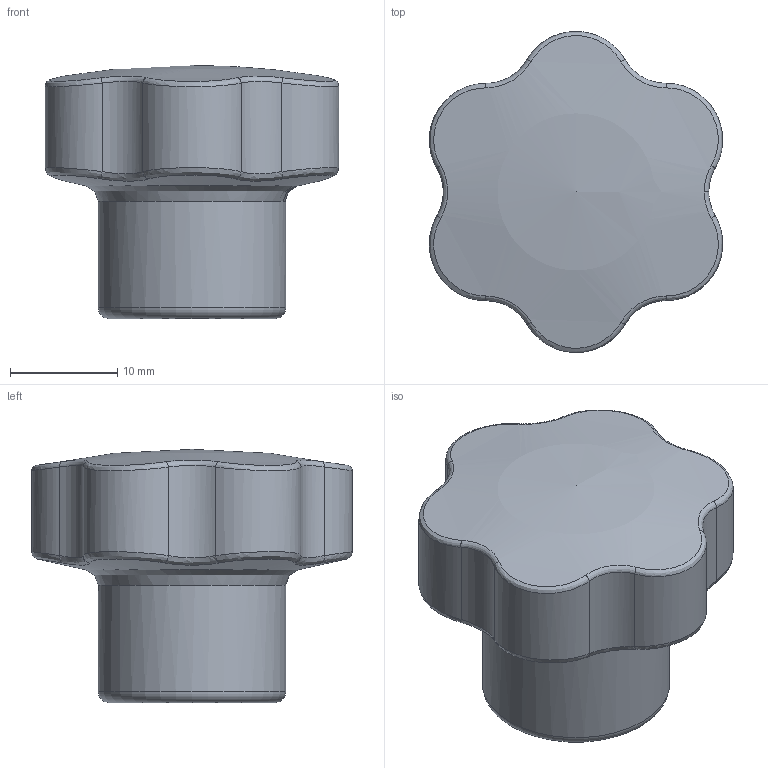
import cadquery as cq
import math

lobe_count = 6
outer_radius = 15.0
lobe_radius = 5.3
valley_depth_radius = 12.4
lobe_center_radius = outer_radius - lobe_radius
pitch_angle = 360.0 / lobe_count
first_lobe_angle = 90.0

total_height = 23.65
dome_radius = 72.0
underside_root_height = 12.15
underside_slope = 12.5

hub_radius = 17.5 / 2
foot_round = 1.0
neck_round = 1.5

top_rim_round = 0.5
bottom_rim_round = 0.7

blank_radius = outer_radius + 2.0


def polar(radius, angle):
    """Point at a radius and an angle in degrees about the knob axis."""
    return (radius * math.cos(math.radians(angle)), radius * math.sin(math.radians(angle)))


def valley_radius():
    """Radius of the concave arc that is tangent to both neighbouring lobes."""
    along = lobe_center_radius * math.cos(math.radians(pitch_angle / 2))
    across = lobe_center_radius * math.sin(math.radians(pitch_angle / 2))
    offset = valley_depth_radius - along
    return (offset**2 + across**2 - lobe_radius**2) / (2 * (lobe_radius - offset))


def star_outline():
    """Closed star outline made only of tangent arcs."""
    valley_round = valley_radius()
    valley_center_radius = valley_depth_radius + valley_round
    lobe_share = lobe_radius / (lobe_radius + valley_round)

    def tangent_point(lobe_angle, side):
        lobe_x, lobe_y = polar(lobe_center_radius, lobe_angle)
        valley_x, valley_y = polar(valley_center_radius, lobe_angle + side * pitch_angle / 2)
        return (
            lobe_x + lobe_share * (valley_x - lobe_x),
            lobe_y + lobe_share * (valley_y - lobe_y),
        )

    outline = cq.Workplane("XY").moveTo(*tangent_point(first_lobe_angle, -1))
    for index in range(lobe_count):
        lobe_angle = first_lobe_angle + index * pitch_angle
        valley_angle = lobe_angle + pitch_angle / 2
        outline = outline.threePointArc(polar(outer_radius, lobe_angle), tangent_point(lobe_angle, 1))
        outline = outline.threePointArc(
            polar(valley_depth_radius, valley_angle), tangent_point(lobe_angle + pitch_angle, -1)
        )
    return outline.close()


def grip_blank():
    """Turned blank with a domed top and a conical underside rising outwards."""
    underside_rise = math.tan(math.radians(underside_slope))
    underside_axis_height = underside_root_height - hub_radius * underside_rise
    underside_edge_height = underside_axis_height + blank_radius * underside_rise

    def dome_height(radius):
        return total_height - dome_radius + math.sqrt(dome_radius**2 - radius**2)

    return (
        cq.Workplane("XZ")
        .moveTo(0, underside_axis_height)
        .lineTo(blank_radius, underside_edge_height)
        .lineTo(blank_radius, dome_height(blank_radius))
        .threePointArc((blank_radius / 2, dome_height(blank_radius / 2)), (0, total_height))
        .close()
        .revolve(360, (0, 0, 0), (0, 1, 0))
    )


def build_grip():
    """Star grip with its top and bottom rims rounded."""
    grip = star_outline().extrude(total_height).intersect(grip_blank())
    grip = grip.faces(">Z").edges().fillet(top_rim_round)
    return grip.faces("<Z").edges("not %LINE").fillet(bottom_rim_round)


def build_knob():
    """Grip and hub as one solid, with a rounded neck and foot."""
    hub = cq.Workplane("XY").circle(hub_radius).extrude(underside_root_height)
    knob = build_grip().union(hub)
    neck_position = (0, 0, underside_root_height)
    knob = knob.edges(cq.selectors.NearestToPointSelector(neck_position)).fillet(neck_round)
    return knob.faces("<Z").edges().fillet(foot_round)


knob = build_knob()

result = cq.Compound.makeCompound([knob.val()])